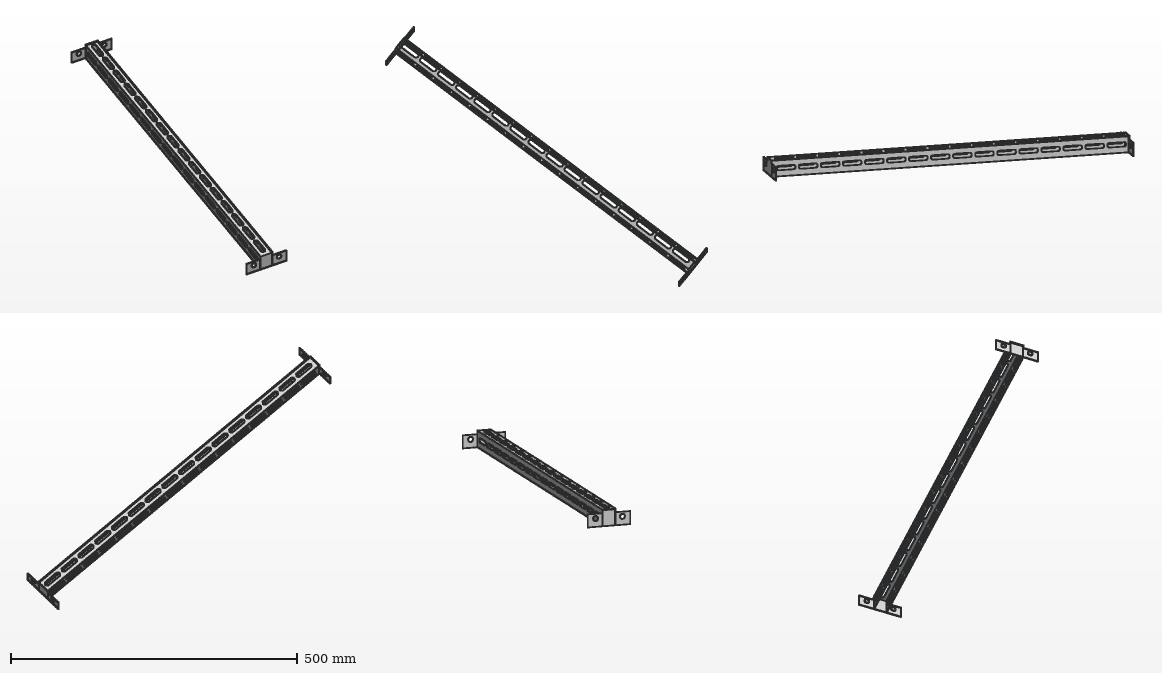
import cadquery as cq

LENGTH = 650.0
CHANNEL_WIDTH = 25.0
CHANNEL_HEIGHT = 30.0
WALL = 1.5

PLATE_WIDTH = 79.0
PLATE_HEIGHT = 23.5
PLATE_THICKNESS = 1.5
HOLE_DIAMETER = 9.0
HOLE_SPACING = 50.0
HOLE_HEIGHT = 15.0

SLOT_COUNT = 16
SLOT_PITCH = 40.0
SLOT_LENGTH = 34.0
SLOT_WIDTH = 8.0
FIRST_SLOT_FROM_END = 23.0

INNER_WIDTH = CHANNEL_WIDTH - 2 * WALL
INNER_HEIGHT = CHANNEL_HEIGHT - WALL
FIRST_SLOT_X = -LENGTH / 2 + FIRST_SLOT_FROM_END
SLOT_CENTRES_X = [FIRST_SLOT_X + i * SLOT_PITCH for i in range(SLOT_COUNT)]


def block(length, width, height):
    """Box centred on X and Y that stands on Z = 0."""
    return cq.Workplane("XY").box(length, width, height, centered=(True, True, False))


def make_channel():
    outside = block(LENGTH, CHANNEL_WIDTH, CHANNEL_HEIGHT)
    return outside.cut(block(LENGTH, INNER_WIDTH, INNER_HEIGHT))


def web_slots():
    """Cutters that pass down through the top web."""
    return (
        cq.Workplane("XY", origin=(0, 0, INNER_HEIGHT))
        .pushPoints([(x, 0) for x in SLOT_CENTRES_X])
        .slot2D(SLOT_LENGTH, SLOT_WIDTH)
        .extrude(WALL)
    )


def wall_slots():
    """Cutters that pass across both side walls."""
    return (
        cq.Workplane("XZ")
        .pushPoints([(x, CHANNEL_HEIGHT / 2) for x in SLOT_CENTRES_X])
        .slot2D(SLOT_LENGTH, SLOT_WIDTH)
        .extrude(CHANNEL_WIDTH / 2, both=True)
    )


def make_end_plate(side):
    """Plate closing one channel end, with a drilled ear on each side; side is -1 or +1."""
    ears = block(PLATE_THICKNESS, PLATE_WIDTH, PLATE_HEIGHT)
    closure = block(PLATE_THICKNESS, INNER_WIDTH, INNER_HEIGHT)
    holes = (
        cq.Workplane("YZ")
        .pushPoints([(-HOLE_SPACING / 2, HOLE_HEIGHT), (HOLE_SPACING / 2, HOLE_HEIGHT)])
        .circle(HOLE_DIAMETER / 2)
        .extrude(PLATE_THICKNESS, both=True)
    )
    plate = ears.union(closure).cut(holes)
    return plate.translate((side * (LENGTH - PLATE_THICKNESS) / 2, 0, 0))


channel = make_channel().cut(web_slots()).cut(wall_slots())
result = channel.union(make_end_plate(-1)).union(make_end_plate(1))